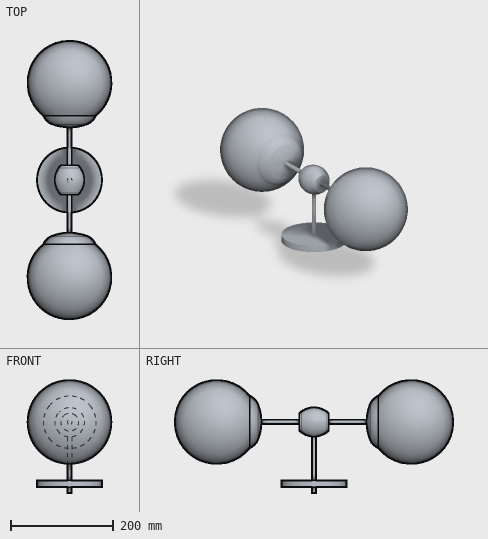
import cadquery as cq
total_length = 544.5
globe_diameter = 164.5
total_height = 221.0

globe_radius = globe_diameter / 2
globe_center = total_length / 2 - globe_radius
cap_seat = 126.0
cap_shoulder = 109.5
cap_tip = 102.5
cap_shoulder_radius = 35.5
cap_corner_bulge = 2.0
cap_face_bulge = 1.5
cap_seat_radius = (globe_radius**2 - (globe_center - cap_seat) ** 2) ** 0.5

hub_radius = 29.0
hub_half_length = 29.0
hub_lip_start = 24.5
hub_lip_radius = 20.5
hub_end_radius = 17.5

rod_diameter = 8.5
plate_diameter = 127.5
plate_thickness = 13.0
stem_bottom = globe_radius - total_height
stem_tail = 11.5


def make_shade():
    """Globe on the +Y end, with a low domed cap in place of its hub-side pole."""
    profile = (
        cq.Workplane("XY")
        .moveTo(0, cap_tip)
        .sagittaArc((cap_shoulder_radius, cap_shoulder), -cap_face_bulge)
        .sagittaArc((cap_seat_radius, cap_seat), -cap_corner_bulge)
        .threePointArc((globe_radius, globe_center), (0, total_length / 2))
        .close()
    )
    return profile.revolve(360, (0, 0, 0), (0, 1, 0))


def make_hub():
    """Barrel with a tapered lip and a flat face at each end."""
    profile = (
        cq.Workplane("XY")
        .moveTo(0, -hub_half_length)
        .lineTo(hub_end_radius, -hub_half_length)
        .lineTo(hub_lip_radius, -hub_lip_start)
        .threePointArc((hub_radius, 0), (hub_lip_radius, hub_lip_start))
        .lineTo(hub_end_radius, hub_half_length)
        .lineTo(0, hub_half_length)
        .close()
    )
    return profile.revolve(360, (0, 0, 0), (0, 1, 0))


def make_arm():
    """Straight rod joining the two globes through the hub."""
    return cq.Workplane("XZ").circle(rod_diameter / 2).extrude(globe_center, both=True)


def make_stand():
    """Stem hanging from the hub, with the round plate just above its lower end."""
    stem = cq.Workplane("XY").circle(rod_diameter / 2).extrude(stem_bottom)
    plate = (
        cq.Workplane("XY")
        .workplane(offset=stem_bottom + stem_tail)
        .circle(plate_diameter / 2)
        .extrude(plate_thickness)
    )
    return stem.union(plate)


result = make_hub().union(make_arm()).union(make_stand())
shade = make_shade()
for turn in (0, 180):
    result = result.union(shade.rotate((0, 0, 0), (0, 0, 1), turn))